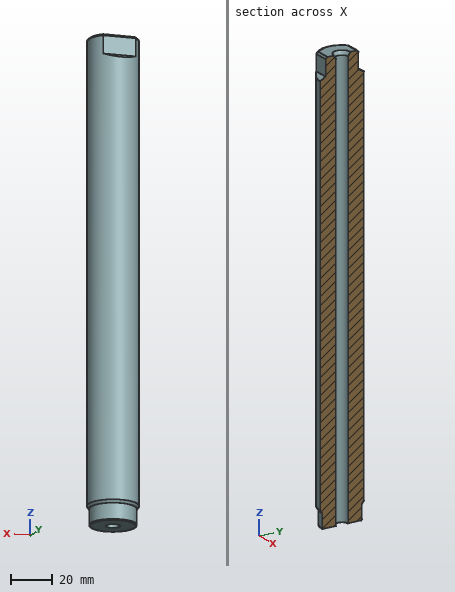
import cadquery as cq
import math

length = 245.0
body_diameter = 25.5
edge_chamfer = 1.0

spigot_diameter = 23.3
spigot_length = 8.5
spigot_chamfer = 0.5
shoulder_chamfer_height = 1.5

across_flats = 19.0
flat_length = 10.0
ledge_angle = 30

hole_diameter = 6.9
countersink_diameter = 9.3
countersink_angle = 60

body_radius = body_diameter / 2
flat_offset = across_flats / 2
ledge_drop = (body_radius - flat_offset) * math.tan(math.radians(ledge_angle))


def make_shaft():
    spigot = cq.Workplane("XY").circle(spigot_diameter / 2).extrude(spigot_length)
    spigot = spigot.faces("<Z").chamfer(spigot_chamfer)
    body = (
        cq.Workplane("XY")
        .workplane(offset=spigot_length)
        .circle(body_radius)
        .extrude(length - spigot_length)
    )
    body = body.faces("<Z").chamfer(shoulder_chamfer_height, edge_chamfer)
    return body.union(spigot)


def make_flat_cutter():
    """Material removed on the +Y side; its lower face slopes down outwards."""
    ledge_z = length - flat_length
    return (
        cq.Workplane("YZ")
        .moveTo(flat_offset, length)
        .lineTo(flat_offset, ledge_z)
        .lineTo(body_radius, ledge_z - ledge_drop)
        .lineTo(body_radius, length)
        .close()
        .extrude(body_radius, both=True)
    )


flat_cutter = make_flat_cutter()
shaft = make_shaft().cut(flat_cutter).cut(flat_cutter.mirror("XZ"))

shaft = shaft.faces(">Z").chamfer(edge_chamfer)

result = shaft.faces(">Z").workplane(origin=(0, 0, length)).cskHole(
    hole_diameter, countersink_diameter, countersink_angle
)